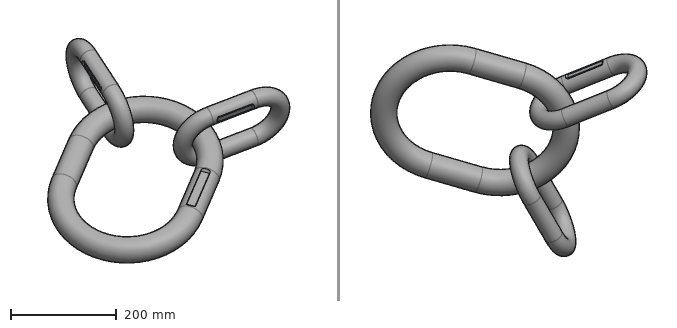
import cadquery as cq
import math

MASTER_BAR = 50.0
MASTER_INNER_WIDTH = 200.0
MASTER_STRAIGHT = 100.0
MASTER_POCKET_FLOOR = 85.5
MASTER_POCKET_WIDTH = 17.5
MASTER_POCKET_DEPTH = 4.5

LINK_BAR = 36.0
LINK_INNER_WIDTH = 75.5
LINK_STRAIGHT = 95.0
LINK_POCKET_FLOOR = 71.5
LINK_POCKET_WIDTH = 14.0
LINK_POCKET_DEPTH = 3.6
LINK_ANGLES = (45, -45)


def oval_ring(bar, inner_width, straight):
    """Round bar bent into an oval in the XY plane, long axis on X, centred on the origin."""
    bend = (inner_width + bar) / 2
    half = straight / 2
    path = (
        cq.Workplane("XY")
        .moveTo(0, -bend)
        .lineTo(half, -bend)
        .threePointArc((half + bend, 0), (half, bend))
        .lineTo(-half, bend)
        .threePointArc((-half - bend, 0), (-half, -bend))
        .close()
    )
    return cq.Workplane("YZ", origin=(0, -bend, 0)).circle(bar / 2).sweep(path)


def marking_pocket(bar, inner_width, floor_length, width, depth):
    """Cutter for a flat-floored pocket in the +Z crown of the straight side at +Y."""
    bend = (inner_width + bar) / 2
    crown = bar / 2
    floor = crown - depth
    rise = 2 * depth
    half = floor_length / 2
    return (
        cq.Workplane("XZ", origin=(0, bend, 0))
        .polyline([
            (-half, floor),
            (half, floor),
            (half + rise, floor + rise),
            (-half - rise, floor + rise),
        ])
        .close()
        .extrude(width / 2, both=True)
    )


def make_master_link():
    ring = oval_ring(MASTER_BAR, MASTER_INNER_WIDTH, MASTER_STRAIGHT)
    pocket = marking_pocket(
        MASTER_BAR, MASTER_INNER_WIDTH, MASTER_POCKET_FLOOR, MASTER_POCKET_WIDTH, MASTER_POCKET_DEPTH
    )
    return ring.cut(pocket).rotate((0, 0, 0), (0, 0, 1), -90)


def make_coupling_link(angle):
    ring = oval_ring(LINK_BAR, LINK_INNER_WIDTH, LINK_STRAIGHT)
    pocket = marking_pocket(
        LINK_BAR, LINK_INNER_WIDTH, LINK_POCKET_FLOOR, LINK_POCKET_WIDTH, LINK_POCKET_DEPTH
    )
    upright = ring.cut(pocket).rotate((0, 0, 0), (1, 0, 0), 90)
    turned = upright.rotate((0, 0, 0), (0, 0, 1), angle)

    half_length = LINK_STRAIGHT / 2 + LINK_INNER_WIDTH / 2 + LINK_BAR
    reach = MASTER_INNER_WIDTH / 2 - LINK_BAR + half_length
    side = math.copysign(1, angle)
    x = side * reach * math.cos(math.radians(angle))
    y = MASTER_STRAIGHT / 2 + reach * math.sin(math.radians(abs(angle)))
    return turned.translate((x, y, 0))


master_link = make_master_link()
coupling_links = [make_coupling_link(angle) for angle in LINK_ANGLES]

result = cq.Compound.makeCompound([master_link.val(), *[link.val() for link in coupling_links]])